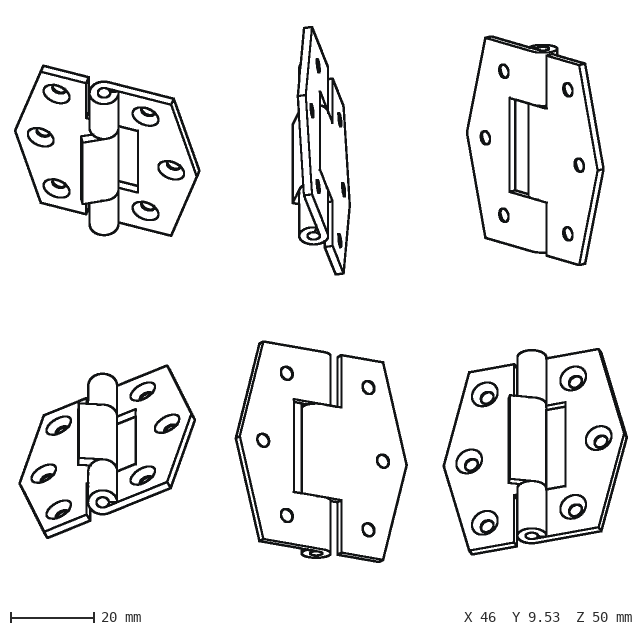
import cadquery as cq
import math

height = 50.0
width = 46.0
thickness = 2.0
pin_radius = 1.5
barrel_radius = pin_radius + thickness

shoulder_x = 16.5
left_edge_x = -5.0
slot_edge_x = 8.05
middle_height = 23.45

outer_curl_end_angle = 25.0
tail_angle = -60.0
tail_length = 6.0

hole_diameter = 3.25
sink_diameter = 6.55
sink_angle = 90.0
outer_hole_z = 18.0
left_hole_x = -12.5
right_hole_x = 10.0
middle_hole_x = 16.5


def polar(radius, angle):
    """Point at a radius and angle around the hinge axis."""
    turn = math.radians(angle)
    return (radius * math.cos(turn), radius * math.sin(turn))


def plate(outline):
    """Flat sheet with an XZ outline, between the pin and the back of the barrel."""
    back = cq.Workplane("XZ", origin=(0, barrel_radius, 0))
    return back.polyline(outline).close().extrude(thickness)


def prism(profile, length):
    """Extrude an XY profile along the hinge axis, centred on Z = 0."""
    return profile.extrude(length).translate((0, 0, -length / 2))


def drill_holes(leaf, places):
    """Drill holes countersunk on the pin side of the sheet."""
    return (
        leaf.copyWorkplane(cq.Workplane("XZ", origin=(0, pin_radius, 0)))
        .pushPoints(places)
        .cskHole(hole_diameter, sink_diameter, sink_angle)
    )


def make_right_leaf():
    """Sheet with a slot, rolled around the pin above and below the slot."""
    sheet = plate([
        (0, height / 2),
        (shoulder_x, height / 2),
        (width / 2, 0),
        (shoulder_x, -height / 2),
        (0, -height / 2),
    ])
    halfway_angle = (90 + outer_curl_end_angle + 360) / 2
    curl = prism(
        cq.Workplane("XY")
        .moveTo(0, barrel_radius)
        .threePointArc(polar(barrel_radius, halfway_angle), polar(barrel_radius, outer_curl_end_angle))
        .lineTo(*polar(pin_radius, outer_curl_end_angle))
        .threePointArc(polar(pin_radius, halfway_angle), (0, pin_radius))
        .close(),
        height,
    )
    slot_start_x = -2 * barrel_radius
    slot = (
        cq.Workplane("XY")
        .box(slot_edge_x - slot_start_x, 4 * barrel_radius, middle_height)
        .translate(((slot_edge_x + slot_start_x) / 2, 0, 0))
    )
    leaf = sheet.union(curl).cut(slot)
    return drill_holes(leaf, [
        (right_hole_x, outer_hole_z),
        (middle_hole_x, 0),
        (right_hole_x, -outer_hole_z),
    ])


def make_left_leaf():
    """Sheet whose middle tab is rolled around the pin and ends in a flat tail."""
    sheet = plate([
        (0, middle_height / 2),
        (left_edge_x, middle_height / 2),
        (left_edge_x, height / 2),
        (-shoulder_x, height / 2),
        (-width / 2, 0),
        (-shoulder_x, -height / 2),
        (left_edge_x, -height / 2),
        (left_edge_x, -middle_height / 2),
        (0, -middle_height / 2),
    ])
    halfway_angle = (90 + tail_angle) / 2
    tail_x, tail_y = polar(tail_length, tail_angle - 90)
    inner_x, inner_y = polar(pin_radius, tail_angle)
    curl = prism(
        cq.Workplane("XY")
        .moveTo(0, barrel_radius)
        .threePointArc(polar(barrel_radius, halfway_angle), polar(barrel_radius, tail_angle))
        .line(tail_x, tail_y)
        .lineTo(inner_x + tail_x, inner_y + tail_y)
        .lineTo(inner_x, inner_y)
        .threePointArc(polar(pin_radius, halfway_angle), (0, pin_radius))
        .close(),
        middle_height,
    )
    leaf = sheet.union(curl)
    return drill_holes(leaf, [
        (left_hole_x, outer_hole_z),
        (-middle_hole_x, 0),
        (left_hole_x, -outer_hole_z),
    ])


def make_pin():
    """Plain pin running the full height of the hinge."""
    return prism(cq.Workplane("XY").circle(pin_radius), height)


right_leaf = make_right_leaf()
left_leaf = make_left_leaf()
pin = make_pin()

result = cq.Compound.makeCompound([right_leaf.solids().val(), left_leaf.solids().val(), pin.val()])